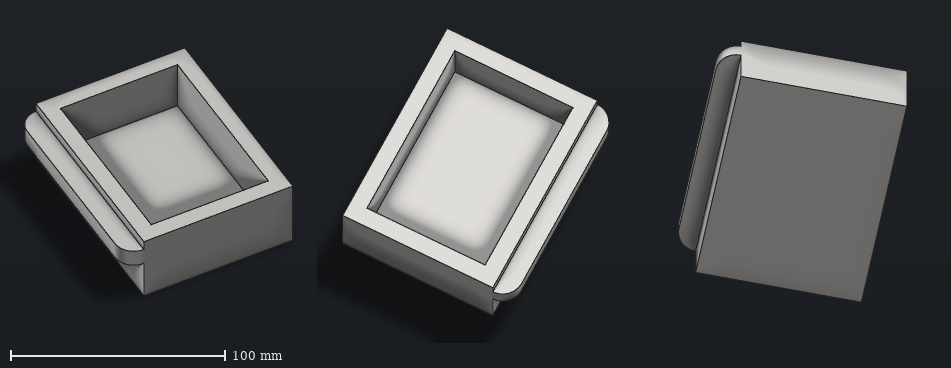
import cadquery as cq

width = 106.0
body_depth = 79.0
height = 35.0
wall = 8.5

ledge_reach = 10.0
ledge_thickness = 9.0
ledge_drop = 5.0
ledge_corner_radius = ledge_reach


def make_box():
    """Rectangular block, resting on Z = 0 with its front face on Y = 0."""
    return cq.Workplane("XY").box(width, body_depth, height, centered=(True, False, False))


def make_pocket():
    """Rectangular cavity, open at the top, with equal walls and floor."""
    return (
        cq.Workplane("XY", origin=(0, wall, wall))
        .box(width - 2 * wall, body_depth - 2 * wall, height - wall, centered=(True, False, False))
    )


def make_ledge():
    """Full-width ledge on the front face, with its two outer corners rounded."""
    half_width = width / 2
    straight_half = half_width - ledge_corner_radius
    ledge_bottom = height - ledge_drop - ledge_thickness
    return (
        cq.Workplane("XY", origin=(0, 0, ledge_bottom))
        .moveTo(-half_width, 0)
        .radiusArc((-straight_half, -ledge_reach), -ledge_corner_radius)
        .lineTo(straight_half, -ledge_reach)
        .radiusArc((half_width, 0), -ledge_corner_radius)
        .close()
        .extrude(ledge_thickness)
    )


result = make_box().cut(make_pocket()).union(make_ledge())